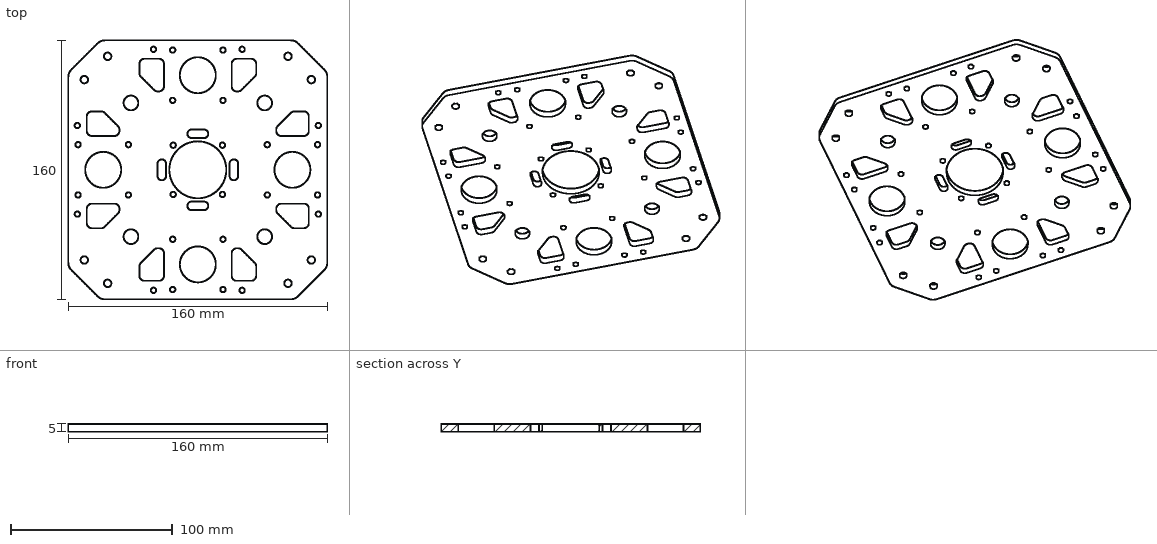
import cadquery as cq

side = 160.0
thickness = 5.0
corner_cut = 20.0
corner_round = 6.0

center_bore = 35.0
port_bore = 22.0
port_offset = 58.4
relief_bore = 9.0
relief_offset = 41.3

small_hole = 3.2
port_hole_offset = 15.5
center_hole_offset = 15.2
edge_hole_along = 27.4
edge_hole_out = 74.4
corner_hole = 4.5
corner_hole_near = 55.7
corner_hole_far = 70.0

slot_offset = 22.2
slot_length = 12.8
slot_width = 5.1

window_left = 21.0
window_right = 36.0
window_bottom = 48.5
window_top = 68.5
window_slope_top = 58.4
window_round = 3.0


def mirrored(x, y):
    """The four mirror images of a point, itself included, about the X and Y axes."""
    return [(sx * x, sy * y) for sx in (1, -1) for sy in (1, -1)]


def on_each_side(cutter):
    """Four copies of a cutter, turned about Z to the four sides of the plate."""
    copies = cutter
    for angle in (90, 180, 270):
        copies = copies.union(cutter.rotate((0, 0, 0), (0, 0, 1), angle))
    return copies


def make_plate():
    plate = cq.Workplane("XY").box(side, side, thickness, centered=(True, True, False))
    plate = plate.edges("|Z").chamfer(corner_cut)
    return plate.edges("|Z").fillet(corner_round)


def round_cutters(points, diameter):
    return cq.Workplane("XY").pushPoints(points).circle(diameter / 2).extrude(thickness)


def slot_cutter():
    """Slot on the +Y side of the center bore."""
    slot = cq.Workplane("XY").center(0, slot_offset).slot2D(slot_length, slot_width)
    return slot.extrude(thickness)


def window_cutters():
    """Pair of windows on the +Y side; a 45 degree slope cuts each lower outer corner."""
    slope_bottom_x = window_right - (window_slope_top - window_bottom)
    outline = [
        (window_left, window_bottom),
        (slope_bottom_x, window_bottom),
        (window_right, window_slope_top),
        (window_right, window_top),
        (window_left, window_top),
    ]
    window = cq.Workplane("XY").polyline(outline).close().extrude(thickness).edges("|Z").fillet(window_round)
    return window.union(window.mirror("YZ"))


def side_hole_cutters():
    """Screw holes on the +Y side: four around the port and two near the plate edge."""
    port_holes = [(x, port_offset + y) for x, y in mirrored(port_hole_offset, port_hole_offset)]
    edge_holes = [(sign * edge_hole_along, edge_hole_out) for sign in (1, -1)]
    return round_cutters(port_holes + edge_holes, small_hole)


corner_holes = mirrored(corner_hole_near, corner_hole_far) + mirrored(corner_hole_far, corner_hole_near)

result = (
    make_plate()
    .cut(round_cutters([(0, 0)], center_bore))
    .cut(round_cutters(mirrored(center_hole_offset, center_hole_offset), small_hole))
    .cut(round_cutters(mirrored(relief_offset, relief_offset), relief_bore))
    .cut(round_cutters(corner_holes, corner_hole))
    .cut(on_each_side(round_cutters([(0, port_offset)], port_bore)))
    .cut(on_each_side(side_hole_cutters()))
    .cut(on_each_side(slot_cutter()))
    .cut(on_each_side(window_cutters()))
)